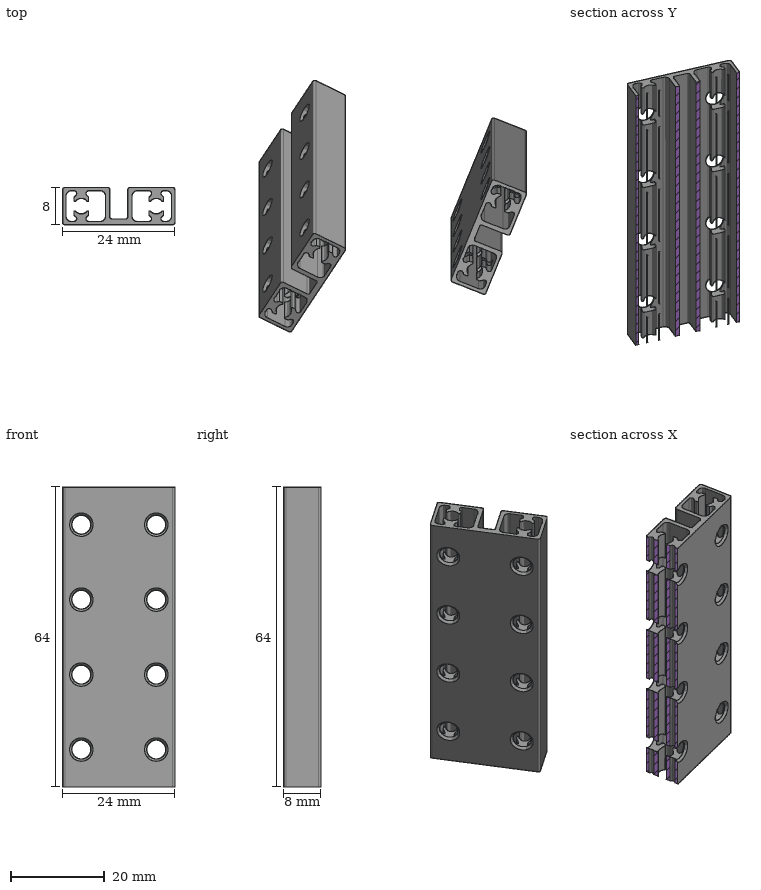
import cadquery as cq
import math

WIDTH = 24.0
DEPTH = 8.0
LENGTH = 64.0
OUTER_FILLET = 0.5

SLOT_WIDTH = 3.8
SLOT_FLOOR_THICKNESS = 1.3
SLOT_FLOOR_FILLET = 0.4

WALL = 0.75
SLOT_WALL = 0.95
CAVITY_FILLET = 1.1

CHANNEL_SPACING = 16.0
BORE_RADIUS = 1.63
HORN_HALF_WIDTH = 1.58
HORN_TIP_RADIUS = 0.2
FLANK_ANGLE = 45.0
NECK_HALF_WIDTH = 1.02
NECK_ROUND_RADIUS = 0.55
ROOT_OVERLAP = 0.2

HOLE_DIAMETER = 4.0
COUNTERSINK_DIAMETER = 5.0
COUNTERSINK_ANGLE = 90.0
HOLE_PITCH = 16.0
HOLE_ROWS = 4


def make_body():
    """Rounded bar with the open slot along its back."""
    slot_depth = DEPTH - SLOT_FLOOR_THICKNESS
    bar = cq.Workplane("XY").box(WIDTH, DEPTH, LENGTH)
    slot = (
        cq.Workplane("XY")
        .box(SLOT_WIDTH, slot_depth, LENGTH)
        .edges("|Z and <Y")
        .fillet(SLOT_FLOOR_FILLET)
        .translate((0, (DEPTH - slot_depth) / 2, 0))
    )
    slotted_bar = bar.edges("|Z").fillet(OUTER_FILLET).cut(slot)
    slot_mouth = cq.selectors.BoxSelector(
        (-SLOT_WIDTH, DEPTH / 2 - OUTER_FILLET / 2, -LENGTH),
        (SLOT_WIDTH, DEPTH / 2 + OUTER_FILLET / 2, LENGTH),
    )
    return slotted_bar.edges("|Z").edges(slot_mouth).fillet(OUTER_FILLET)


def make_cavity():
    """Hollow of the +X channel, without its webs."""
    inner_x = SLOT_WIDTH / 2 + SLOT_WALL
    outer_x = WIDTH / 2 - WALL
    return (
        cq.Workplane("XY")
        .box(outer_x - inner_x, DEPTH - 2 * WALL, LENGTH)
        .edges("|Z")
        .fillet(CAVITY_FILLET)
        .translate(((inner_x + outer_x) / 2, 0, 0))
    )


def make_web():
    """Web on the +Y wall of a channel, symmetric about X = 0."""
    wall_y = DEPTH / 2 - WALL
    root_y = wall_y + ROOT_OVERLAP
    round_y = wall_y - NECK_ROUND_RADIUS

    flank = math.radians(FLANK_ANGLE)
    round_x = NECK_HALF_WIDTH + NECK_ROUND_RADIUS
    flank_x = round_x - NECK_ROUND_RADIUS * math.cos(flank)
    flank_y = round_y - NECK_ROUND_RADIUS * math.sin(flank)
    shoulder_y = flank_y - (HORN_HALF_WIDTH - flank_x) / math.tan(flank)

    tip_center_x = HORN_HALF_WIDTH - HORN_TIP_RADIUS
    tip_center_distance = BORE_RADIUS + HORN_TIP_RADIUS
    bore_end = math.acos(tip_center_x / tip_center_distance)
    tip_center_y = tip_center_distance * math.sin(bore_end)
    tip_x = BORE_RADIUS * math.cos(bore_end)
    tip_y = BORE_RADIUS * math.sin(bore_end)
    mid_angle = (bore_end - math.pi) / 2
    tip_mid_x = tip_center_x + HORN_TIP_RADIUS * math.cos(mid_angle)
    tip_mid_y = tip_center_y + HORN_TIP_RADIUS * math.sin(mid_angle)

    return (
        cq.Workplane("XY")
        .workplane(offset=-LENGTH / 2)
        .moveTo(-round_x, root_y)
        .lineTo(round_x, root_y)
        .lineTo(round_x, wall_y)
        .threePointArc((NECK_HALF_WIDTH, round_y), (flank_x, flank_y))
        .lineTo(HORN_HALF_WIDTH, shoulder_y)
        .lineTo(HORN_HALF_WIDTH, tip_center_y)
        .threePointArc((tip_mid_x, tip_mid_y), (tip_x, tip_y))
        .threePointArc((0, BORE_RADIUS), (-tip_x, tip_y))
        .threePointArc((-tip_mid_x, tip_mid_y), (-HORN_HALF_WIDTH, tip_center_y))
        .lineTo(-HORN_HALF_WIDTH, shoulder_y)
        .lineTo(-flank_x, flank_y)
        .threePointArc((-NECK_HALF_WIDTH, round_y), (-round_x, wall_y))
        .close()
        .extrude(LENGTH)
    )


def make_channel():
    """Material removed for the +X channel: its cavity less the two webs."""
    web = make_web().translate((CHANNEL_SPACING / 2, 0, 0))
    return make_cavity().cut(web).cut(web.mirror("XZ"))


def drill_holes(body):
    """Grid of holes through the full depth, countersunk in the front face."""
    return (
        body.faces("<Y")
        .workplane(centerOption="CenterOfBoundBox")
        .rarray(CHANNEL_SPACING, HOLE_PITCH, 2, HOLE_ROWS)
        .cskHole(HOLE_DIAMETER, COUNTERSINK_DIAMETER, COUNTERSINK_ANGLE)
    )


channel = make_channel()
profile = make_body().cut(channel).cut(channel.mirror("YZ"))
result = drill_holes(profile)